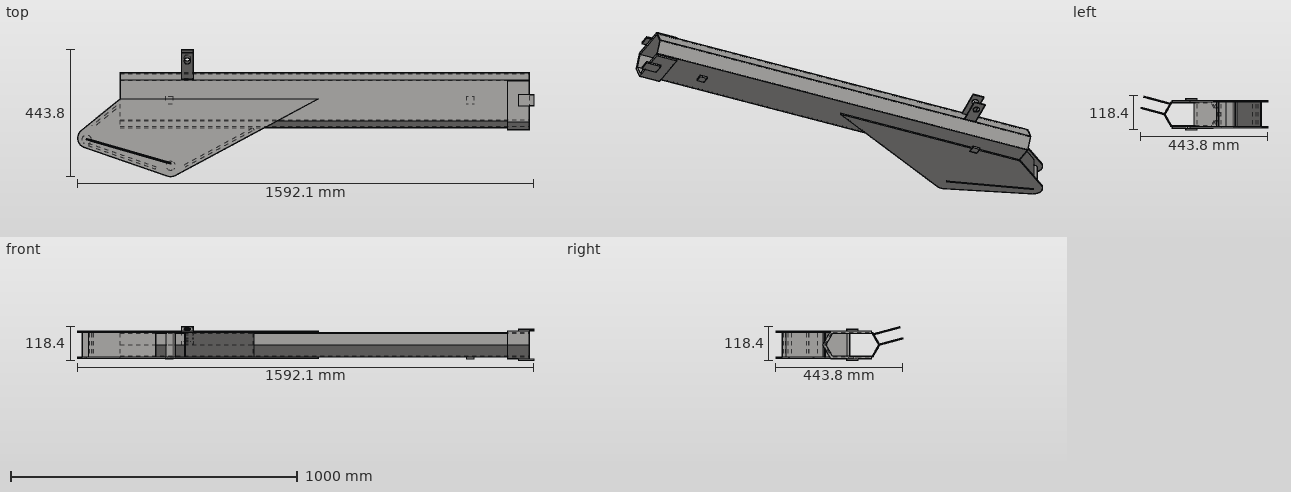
import cadquery as cq
import math

OVERALL_HEIGHT = 118.36

TUBE_LENGTH = 1427.0
TUBE_HALF_HEIGHT = 43.2
TUBE_FLAT = 143.0
TUBE_WALL = 4.0
SIDE_ANGLE = 60.0

PLATE_THICKNESS = 5.0
PLATE_BACK_Y = 5.0
PLATE_TIP_X = 691.0
PLATE_LEFT_CORNER = (-184.6, -144.5)
PLATE_FRONT_CORNER = (179.0, -270.0)
PLATE_CORNER_RADIUS = 35.0
SLOT_START = (-118.0, -135.5)
SLOT_END = (177.0, -220.5)
SLOT_WIDTH = 4.0

LEFT_PIN = (-117.0, -137.0)
FRONT_PIN = (176.0, -228.5)
PIN_DIAMETER = 32.0

WEB_THICKNESS = 8.0
FRONT_WEB = ((-110.0, -159.2), (123.0, -240.2))
RIGHT_WEB = ((227.6, -232.0), (467.0, -103.0))
LEFT_WEB = ((0.0, -8.5), (-98.0, -88.1))

SLEEVE_LENGTH = 77.0
SLEEVE_THICKNESS = 6.0
SLEEVE_BACK_SETBACK = 4.0

TAB_LENGTH = 55.0
TAB_WIDTH = 40.0
TAB_THICKNESS = 5.8
TAB_OVERHANG = 16.58

LUG_TILT = 15.0
LUG_CENTRE_X = 234.0
LUG_WIDTH = 42.0
LUG_THICKNESS = 4.0
LUG_PITCH = 40.0
LUG_TIP_Y = 176.87
LUG_TOP_Z = OVERALL_HEIGHT - TUBE_HALF_HEIGHT - SLEEVE_THICKNESS - TAB_THICKNESS
LUG_HOLE_DIAMETER = 22.0
LUG_HOLE_SETBACK = 30.0
UPPER_LUG_LENGTH = 96.0
LOWER_LUG_LENGTH = 86.0

PAD_SIZE = 27.0
PAD_THICKNESS = 6.5
PAD_X = (171.0, 1221.0)


def box(x_range, y_range, z_range):
    """Box spanning the given ranges."""
    size = [high - low for low, high in (x_range, y_range, z_range)]
    corner = (x_range[0], y_range[0], z_range[0])
    return cq.Workplane("XY").box(*size, centered=False).translate(corner)


def hex_prism(offset, start_x, length):
    """Prism of the tube's outline, moved outward by the offset."""
    half_height = TUBE_HALF_HEIGHT + offset
    half_flat = TUBE_FLAT / 2 + offset * math.tan(math.radians(SIDE_ANGLE / 2))
    half_width = half_flat + half_height / math.tan(math.radians(SIDE_ANGLE))
    outline = [
        (half_width, 0),
        (half_flat, half_height),
        (-half_flat, half_height),
        (-half_width, 0),
        (-half_flat, -half_height),
        (half_flat, -half_height),
    ]
    return cq.Workplane("YZ").workplane(offset=start_x).polyline(outline).close().extrude(length)


def make_tube():
    return hex_prism(0, 0, TUBE_LENGTH).cut(hex_prism(-TUBE_WALL, 0, TUBE_LENGTH))


def make_sleeve():
    start = TUBE_LENGTH - SLEEVE_LENGTH
    shell = hex_prism(SLEEVE_THICKNESS, start, SLEEVE_LENGTH)
    shell = shell.cut(hex_prism(0, start, SLEEVE_LENGTH))
    back_edge = TUBE_FLAT / 2 - SLEEVE_BACK_SETBACK
    reach = TUBE_FLAT
    return shell.cut(box((start, TUBE_LENGTH), (back_edge, back_edge + reach), (-reach, reach)))


def make_plate():
    outline = [(0, PLATE_BACK_Y), PLATE_LEFT_CORNER, PLATE_FRONT_CORNER, (PLATE_TIP_X, PLATE_BACK_Y)]
    plate = cq.Workplane("XY").polyline(outline).close().extrude(PLATE_THICKNESS)
    for corner in (PLATE_LEFT_CORNER, PLATE_FRONT_CORNER):
        edge = cq.selectors.NearestToPointSelector((*corner, PLATE_THICKNESS / 2))
        plate = plate.edges("|Z").edges(edge).fillet(PLATE_CORNER_RADIUS)
    return plate.cut(make_slot())


def make_slot():
    """Narrow slot through a plate, running between the pins."""
    run = SLOT_END[0] - SLOT_START[0]
    rise = SLOT_END[1] - SLOT_START[1]
    middle = ((SLOT_START[0] + SLOT_END[0]) / 2, (SLOT_START[1] + SLOT_END[1]) / 2)
    slot = cq.Workplane("XY").rect(math.hypot(run, rise), SLOT_WIDTH).extrude(PLATE_THICKNESS)
    angle = math.degrees(math.atan2(rise, run))
    return slot.rotate((0, 0, 0), (0, 0, 1), angle).translate((*middle, 0))


def between_plates(sketch):
    """Extrude a sketch over the gap between the two plates."""
    return sketch.extrude(2 * TUBE_HALF_HEIGHT).translate((0, 0, -TUBE_HALF_HEIGHT))


def make_web(start, end):
    """Flat web from start to end, thickened to the left of its run and trimmed by the tube."""
    run = end[0] - start[0]
    rise = end[1] - start[1]
    scale = WEB_THICKNESS / math.hypot(run, rise)
    shift = (-rise * scale, run * scale)
    inner_end = (end[0] + shift[0], end[1] + shift[1])
    inner_start = (start[0] + shift[0], start[1] + shift[1])
    outline = cq.Workplane("XY").polyline([start, end, inner_end, inner_start]).close()
    return between_plates(outline).cut(hex_prism(0, 0, TUBE_LENGTH))


def make_pin(centre):
    return between_plates(cq.Workplane("XY").center(*centre).circle(PIN_DIAMETER / 2))


def make_tab(side):
    """Tab on the sleeve's top (side 1) or bottom (side -1)."""
    end = TUBE_LENGTH + TAB_OVERHANG
    inner = TUBE_HALF_HEIGHT + SLEEVE_THICKNESS
    z_range = sorted((side * inner, side * (inner + TAB_THICKNESS)))
    return box((end - TAB_LENGTH, end), (-TAB_WIDTH / 2, TAB_WIDTH / 2), z_range)


def make_lugs():
    """Lugs are laid flat with the lower tip at the origin, then tilted and moved into place."""
    tilt = math.radians(LUG_TILT)
    half_width = LUG_WIDTH / 2
    lower = box((-half_width, half_width), (-LOWER_LUG_LENGTH, 0), (0, LUG_THICKNESS))
    upper = box((-half_width, half_width), (-UPPER_LUG_LENGTH, 0), (LUG_PITCH, LUG_PITCH + LUG_THICKNESS))
    drill = cq.Workplane("XY").center(0, -LUG_HOLE_SETBACK).circle(LUG_HOLE_DIAMETER / 2)
    lugs = lower.union(upper).cut(drill.extrude(LUG_PITCH + LUG_THICKNESS))
    lugs = lugs.rotate((0, 0, 0), (1, 0, 0), LUG_TILT)
    tip_z = LUG_TOP_Z - (LUG_PITCH + LUG_THICKNESS) * math.cos(tilt)
    lugs = lugs.translate((LUG_CENTRE_X, LUG_TIP_Y, tip_z))
    return lugs.cut(hex_prism(-TUBE_WALL, 0, TUBE_LENGTH))


def make_pad(centre_x):
    x_range = (centre_x - PAD_SIZE / 2, centre_x + PAD_SIZE / 2)
    z_range = (-TUBE_HALF_HEIGHT - PAD_THICKNESS, -TUBE_HALF_HEIGHT)
    return box(x_range, (-PAD_SIZE / 2, PAD_SIZE / 2), z_range)


result = make_tube().union(make_sleeve()).union(make_lugs())
for plate_z in (TUBE_HALF_HEIGHT, -TUBE_HALF_HEIGHT - PLATE_THICKNESS):
    result = result.union(make_plate().translate((0, 0, plate_z)))
for web_ends in (FRONT_WEB, RIGHT_WEB, LEFT_WEB):
    result = result.union(make_web(*web_ends))
for pin_centre in (LEFT_PIN, FRONT_PIN):
    result = result.union(make_pin(pin_centre))
for tab_side in (1, -1):
    result = result.union(make_tab(tab_side))
for pad_x in PAD_X:
    result = result.union(make_pad(pad_x))